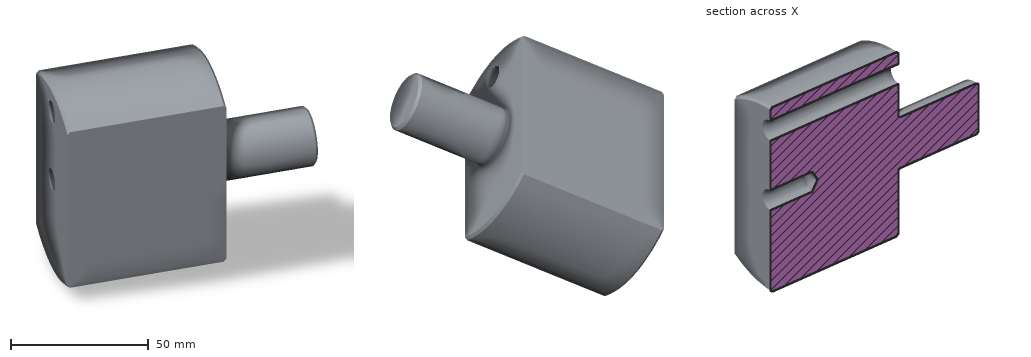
import cadquery as cq
import math

block_width = 40.5
block_diameter = 80.0
total_length = 97.5
shank_length = 37.5
block_length = total_length - shank_length
edge_chamfer = 1.0

shank_diameter = 22.2
shank_chamfer = 1.0
root_fillet = 1.0

hole_diameter = 8.5
through_hole_height = 30.0
blind_hole_depth = 19.5
drill_point_angle = 118.0


def make_block():
    """Chamfered round bar cut to two parallel flats; front face at Y = 0."""
    bar = (
        cq.Workplane("XZ")
        .circle(block_diameter / 2)
        .extrude(-block_length)
        .edges("%CIRCLE")
        .chamfer(edge_chamfer)
    )
    slab = cq.Workplane("XY").box(
        block_width, block_length, block_diameter, centered=(True, False, True)
    )
    return bar.intersect(slab)


def make_shank():
    """Turned shank with a chamfered end and a concave fillet at its root."""
    radius = shank_diameter / 2
    root_mid = root_fillet * (1 - math.sqrt(0.5))
    return (
        cq.Workplane("XY")
        .moveTo(0, block_length)
        .lineTo(radius + root_fillet, block_length)
        .threePointArc(
            (radius + root_mid, block_length + root_mid),
            (radius, block_length + root_fillet),
        )
        .lineTo(radius, total_length - shank_chamfer)
        .lineTo(radius - shank_chamfer, total_length)
        .lineTo(0, total_length)
        .close()
        .revolve(360, (0, 0, 0), (0, 1, 0))
    )


def make_hole(height, depth, point_length):
    """Hole along Y from the front face, ending in a cone of the given length."""
    radius = hole_diameter / 2
    profile = [
        (0, 0),
        (radius, 0),
        (radius, depth),
        (0, depth + point_length),
    ]
    hole = cq.Workplane("XY").polyline(profile).close().revolve(360, (0, 0, 0), (0, 1, 0))
    return hole.translate((0, 0, height))


drill_point_length = hole_diameter / 2 / math.tan(math.radians(drill_point_angle / 2))
through_hole = make_hole(through_hole_height, block_length, 0)
blind_hole = make_hole(0, blind_hole_depth, drill_point_length)

result = make_block().union(make_shank()).cut(through_hole).cut(blind_hole)